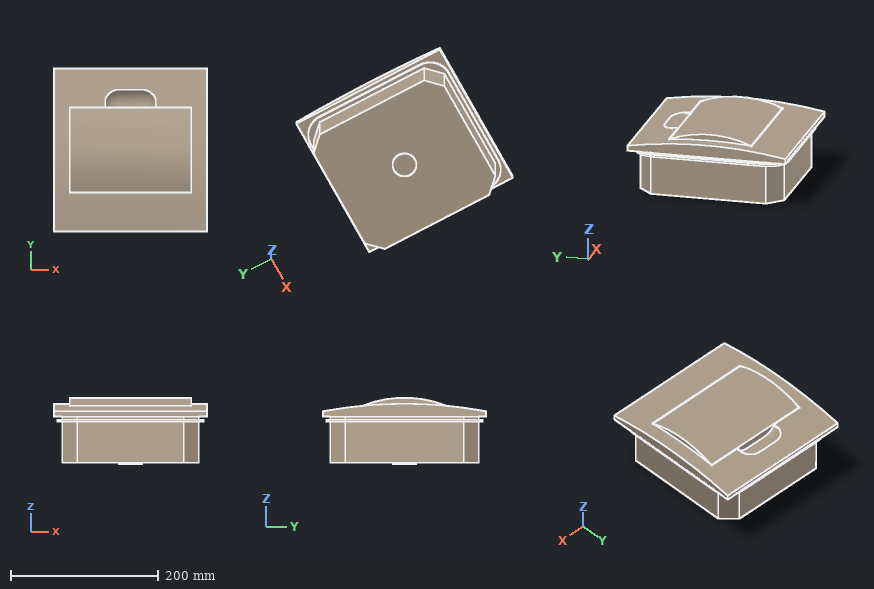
import cadquery as cq

frame_x = 208.0
frame_y = 222.0
frame_bottom = 64.8
frame_edge_top = 72.2
frame_crown = 82.1

lid_x = 165.6
lid_y = 114.5
lid_edge_top = 79.5
lid_crown = 90.5
lid_end_gap = 0.9

recess_floor_x = 30.2
recess_floor_back = 63.3
recess_radius = 24.9
recess_floor = 68.2
recess_x = 68.8

box_x = 185.5
box_y = 202.0
box_bottom = 1.8
box_chamfer = 20.2

flange_x = 198.5
flange_y = 213.1
flange_bottom = 57.5
flange_thickness = 2.9
flange_radius = 28.9

foot_diameter = 32.5


def arched_block(length_x, length_y, bottom, edge_top, crown):
    """Block centred on the Z axis with a top that is an arc across Y."""
    half_y = length_y / 2
    return (
        cq.Workplane("YZ")
        .moveTo(-half_y, bottom)
        .lineTo(half_y, bottom)
        .lineTo(half_y, edge_top)
        .threePointArc((0, crown), (-half_y, edge_top))
        .close()
        .extrude(length_x / 2, both=True)
    )


def block(length_x, length_y, bottom, height):
    """Plain block centred on the Z axis."""
    return cq.Workplane("XY", origin=(0, 0, bottom)).rect(length_x, length_y).extrude(height)


def make_recess():
    """Scoop volume: flat floor with quarter-round sides and back, ball corners and upright ends."""
    half_floor_x = recess_floor_x / 2
    round_z = recess_floor + recess_radius
    side_rounds = (
        cq.Workplane("XZ")
        .moveTo(-half_floor_x, recess_floor)
        .lineTo(half_floor_x, recess_floor)
        .radiusArc((half_floor_x + recess_radius, round_z), -recess_radius)
        .lineTo(-half_floor_x - recess_radius, round_z)
        .radiusArc((-half_floor_x, recess_floor), -recess_radius)
        .close()
        .extrude(-recess_floor_back)
    )
    back_round = (
        cq.Workplane("YZ", origin=(0, recess_floor_back, round_z))
        .circle(recess_radius)
        .extrude(half_floor_x, both=True)
    )
    ball_corners = (
        cq.Workplane("XY", origin=(0, recess_floor_back, round_z))
        .pushPoints([(-half_floor_x, 0), (half_floor_x, 0)])
        .sphere(recess_radius)
    )
    between_ends = block(recess_x, frame_y, frame_bottom, lid_crown)
    return side_rounds.union(back_round).union(ball_corners).intersect(between_ends)


def make_frame():
    opening = block(lid_x, lid_y + 2 * lid_end_gap, frame_bottom, frame_crown)
    plate = arched_block(frame_x, frame_y, frame_bottom, frame_edge_top, frame_crown)
    return plate.cut(make_recess()).cut(opening)


def make_lid():
    return arched_block(lid_x, lid_y, frame_bottom, lid_edge_top, lid_crown)


def make_box():
    body = block(box_x, box_y, box_bottom, frame_bottom - box_bottom)
    return body.edges("|Z").chamfer(box_chamfer)


def make_flange(box):
    plate = block(flange_x, flange_y, flange_bottom, flange_thickness)
    return plate.edges("|Z").fillet(flange_radius).cut(box)


def make_foot():
    return cq.Workplane("XY").circle(foot_diameter / 2).extrude(box_bottom)


frame = make_frame()
lid = make_lid()
box = make_box()
flange = make_flange(box)
foot = make_foot()

bodies = [frame, lid, box, flange, foot]
result = cq.Compound.makeCompound([body.solids().val() for body in bodies])